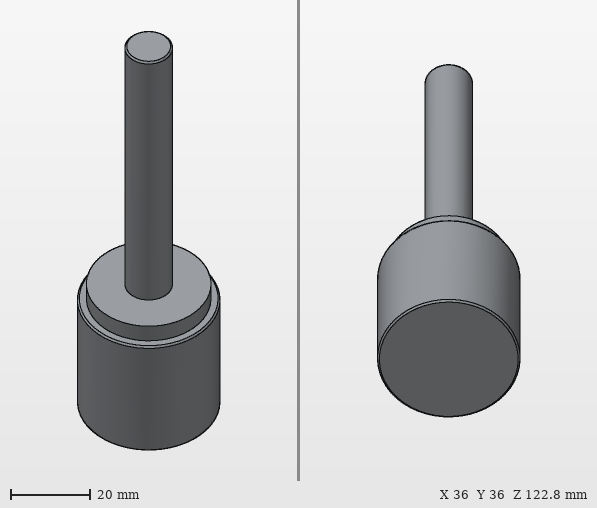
import cadquery as cq

total_height = 122.8
body_diameter = 36.0
body_height = 36.0
collar_diameter = 31.4
collar_height = 5.0
shaft_diameter = 12.0
edge_chamfer = 0.5

collar_top = body_height + collar_height
shaft_length = total_height - collar_top

body = cq.Workplane("XY").circle(body_diameter / 2).extrude(body_height)
body = body.edges().chamfer(edge_chamfer)

collar = (
    cq.Workplane("XY")
    .workplane(offset=body_height)
    .circle(collar_diameter / 2)
    .extrude(collar_height)
)

shaft = (
    cq.Workplane("XY")
    .workplane(offset=collar_top)
    .circle(shaft_diameter / 2)
    .extrude(shaft_length)
    .faces(">Z")
    .edges()
    .chamfer(edge_chamfer)
)

result = body.union(collar).union(shaft)